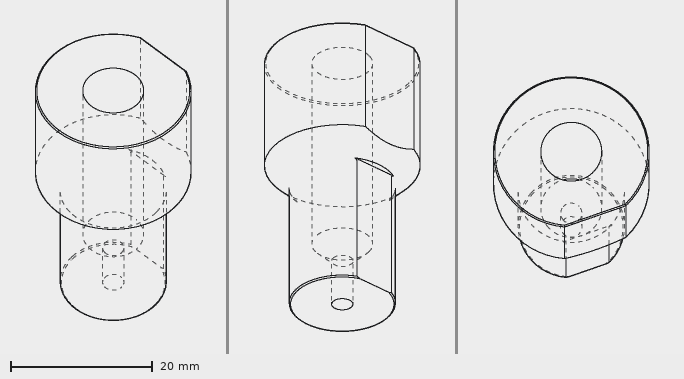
import cadquery as cq
import math

total_height = 40.0
head_radius = 11.0
shank_radius = 7.5
shoulder_height = 23.0
neck_fillet = 0.6
edge_chamfer = 0.2

head_flat_y = 10.0
shank_flat_y = 6.75

bore_diameter = 8.6
bore_depth = 30.0
drill_point_angle = 90.0
through_diameter = 3.0

neck_height = shoulder_height - (head_radius - shank_radius)
fillet_top_height = neck_height + neck_fillet * math.tan(math.radians(22.5)) * math.sin(math.radians(45))


def turned_body():
    """Head, cone and shank as one revolved solid with a rounded neck."""
    profile = (
        cq.Workplane("XZ")
        .moveTo(0, 0)
        .lineTo(shank_radius - edge_chamfer, 0)
        .lineTo(shank_radius, edge_chamfer)
        .lineTo(shank_radius, neck_height)
        .lineTo(head_radius, shoulder_height)
        .lineTo(head_radius, total_height)
        .lineTo(0, total_height)
        .close()
    )
    body = profile.revolve(360, (0, 0, 0), (0, 1, 0))
    neck_edge = cq.selectors.BoxSelector(
        (-head_radius, -head_radius, neck_height - edge_chamfer),
        (head_radius, head_radius, neck_height + edge_chamfer),
    )
    return body.edges(neck_edge).fillet(neck_fillet)


def flat_cutter(flat_y, bottom, top):
    """Block that removes everything beyond flat_y between two heights."""
    size = 2 * head_radius
    return (
        cq.Workplane("XY")
        .box(size, size, top - bottom, centered=(True, False, False))
        .translate((0, flat_y, bottom))
    )


def axial_hole():
    """Wide bore from the top, drill-point cone and narrow through hole."""
    bore_radius = bore_diameter / 2
    through_radius = through_diameter / 2
    bore_floor = total_height - bore_depth
    cone_depth = (bore_radius - through_radius) / math.tan(math.radians(drill_point_angle / 2))
    return (
        cq.Workplane("XZ")
        .moveTo(0, 0)
        .lineTo(through_radius, 0)
        .lineTo(through_radius, bore_floor - cone_depth)
        .lineTo(bore_radius, bore_floor)
        .lineTo(bore_radius, total_height)
        .lineTo(0, total_height)
        .close()
        .revolve(360, (0, 0, 0), (0, 1, 0))
    )


body = turned_body()
body = body.cut(flat_cutter(head_flat_y, 0, total_height))
body = body.faces(">Z").edges().chamfer(edge_chamfer)
body = body.cut(flat_cutter(shank_flat_y, 0, fillet_top_height))
result = body.cut(axial_hole())